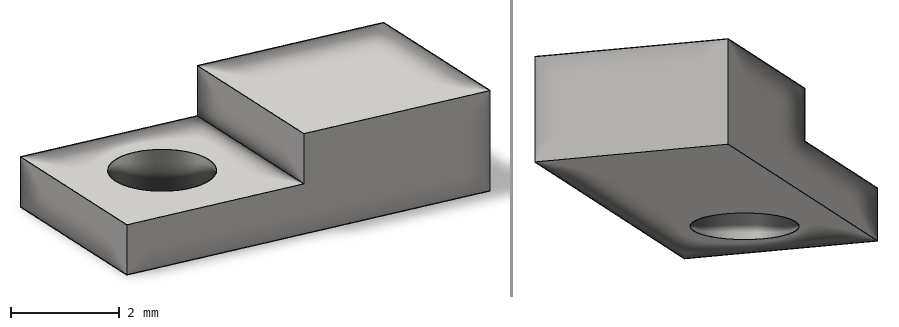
import cadquery as cq

width = 3.8
block_length = 4.0
tab_length = width
block_height = 2.0
tab_height = block_height / 2
hole_diameter = 2.0

total_length = block_length + tab_length
hole_center_y = tab_length / 2


def make_stepped_body():
    """Thin tab at the -Y end rising in one step to the thick block at the +Y end."""
    base = cq.Workplane("XY").box(width, total_length, tab_height, centered=(True, False, False))
    block = (
        cq.Workplane("XY")
        .box(width, block_length, block_height, centered=(True, False, False))
        .translate((0, tab_length, 0))
    )
    return base.union(block).clean()


def make_hole_cutter():
    """Cylinder through the full thickness of the tab."""
    return cq.Workplane("XY").center(0, hole_center_y).circle(hole_diameter / 2).extrude(tab_height)


result = make_stepped_body().cut(make_hole_cutter())